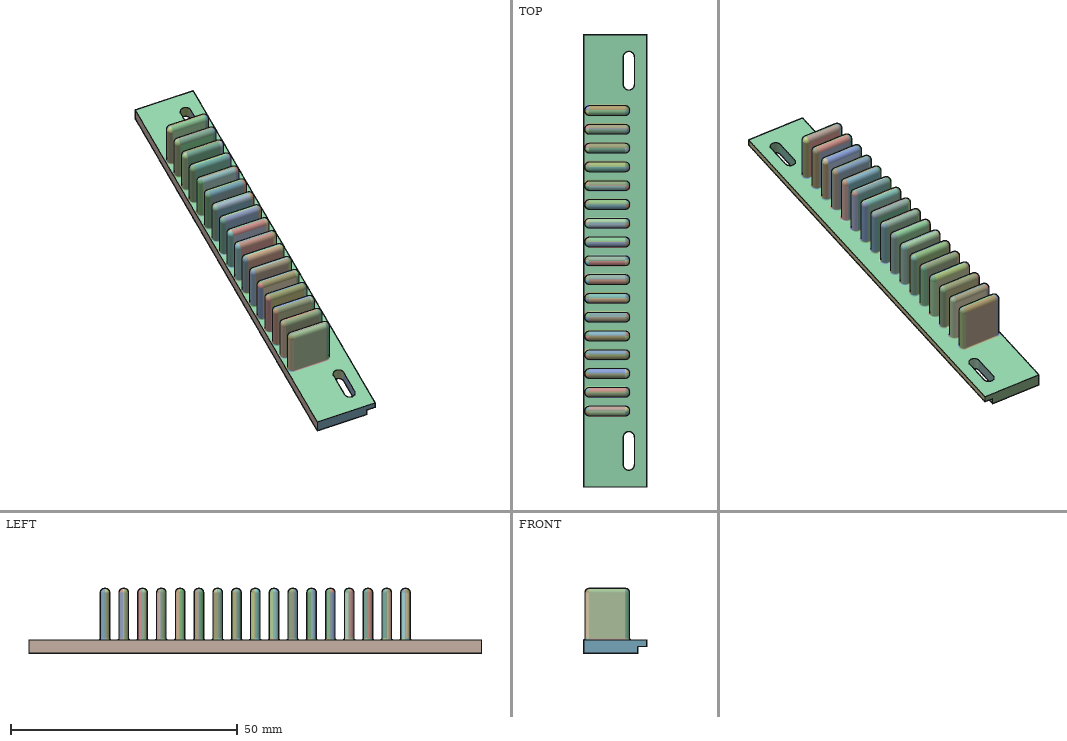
import cadquery as cq

base_length = 100.0
base_width = 14.0
base_thickness = 3.0
lip_width = 2.0
lip_thickness = base_thickness / 2

fin_count = 17
fin_pitch = 4.15
fin_length = 9.9
fin_thickness = 2.15
fin_offset = 0.3
total_height = 14.4
fin_height = total_height - base_thickness
fin_round = 1.0
root_fillet = 0.25

slot_length = 8.5
slot_width = 2.4
slot_x = 10.0
slot_end_distance = 8.0


def make_base():
    body_width = base_width - lip_width
    lip_bottom = base_thickness - lip_thickness
    profile = [
        (0, 0),
        (body_width, 0),
        (body_width, lip_bottom),
        (base_width, lip_bottom),
        (base_width, base_thickness),
        (0, base_thickness),
    ]
    return cq.Workplane("XZ").polyline(profile).close().extrude(base_length / 2, both=True)


def make_fin(x, y):
    return (
        cq.Workplane("XY", origin=(x, y, base_thickness))
        .box(fin_length, fin_thickness, fin_height, centered=(True, True, False))
        .edges("|Z or >Z")
        .fillet(fin_round)
    )


def add_fins(body):
    fin_x = fin_offset + fin_length / 2
    first_y = -fin_pitch * (fin_count - 1) / 2
    for index in range(fin_count):
        body = body.union(make_fin(fin_x, first_y + index * fin_pitch))
    return body


def fillet_fin_roots(body):
    margin = root_fillet / 2
    row_half_length = (fin_pitch * (fin_count - 1) + fin_thickness) / 2
    foot_region = cq.selectors.BoxSelector(
        (fin_offset - margin, -row_half_length - margin, base_thickness - margin),
        (fin_offset + fin_length + margin, row_half_length + margin, base_thickness + margin),
    )
    return body.edges(foot_region).fillet(root_fillet)


def cut_slots(body):
    slot_y = base_length / 2 - slot_end_distance
    slots = (
        cq.Workplane("XY")
        .pushPoints([(slot_x, -slot_y), (slot_x, slot_y)])
        .slot2D(slot_length, slot_width, angle=90)
        .extrude(base_thickness)
    )
    return body.cut(slots)


result = cut_slots(fillet_fin_roots(add_fins(make_base())))